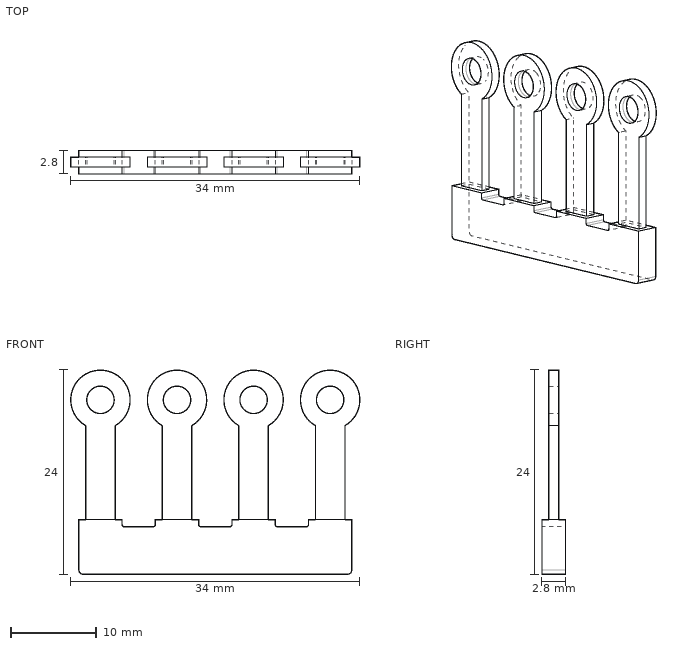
import cadquery as cq

TERMINAL_COUNT = 4
OVERALL_LENGTH = 34.0
OVERALL_HEIGHT = 24.0

RING_DIAMETER = 7.0
HOLE_DIAMETER = 3.2
STEM_WIDTH = 3.5
TERMINAL_THICKNESS = 1.2

BASE_LENGTH = 32.1
BASE_DEPTH = 2.8
BASE_HEIGHT = 6.43
BASE_CORNER_RADIUS = 0.5

NOTCH_WIDTH = 3.88
NOTCH_DEPTH = 0.8
NOTCH_CORNER_RADIUS = 0.2

PITCH = (OVERALL_LENGTH - RING_DIAMETER) / (TERMINAL_COUNT - 1)
RING_CENTER_Z = OVERALL_HEIGHT - RING_DIAMETER / 2
STEM_HEIGHT = RING_CENTER_Z - BASE_HEIGHT


def row_positions(count):
    """X places of `count` items spaced one pitch apart and centred on X = 0."""
    return [(i - (count - 1) / 2) * PITCH for i in range(count)]


def plate_box(width, depth, height, x, bottom_z):
    """Box centred on x and Y = 0, standing on bottom_z."""
    box = cq.Workplane("XY").box(width, depth, height, centered=(True, True, False))
    return box.translate((x, 0, bottom_z))


def make_base():
    """Bar with rounded lower end corners and a notch between each two terminals."""
    base = plate_box(BASE_LENGTH, BASE_DEPTH, BASE_HEIGHT, 0, 0)
    base = base.edges("|Y and <Z").fillet(BASE_CORNER_RADIUS)
    for x in row_positions(TERMINAL_COUNT - 1):
        notch = plate_box(NOTCH_WIDTH, BASE_DEPTH, NOTCH_DEPTH, x, BASE_HEIGHT - NOTCH_DEPTH)
        base = base.cut(notch.edges("|Y and <Z").fillet(NOTCH_CORNER_RADIUS))
    return base


def make_terminal(x):
    """Stem standing on the base, ending in a ring with a through hole."""
    stem = plate_box(STEM_WIDTH, TERMINAL_THICKNESS, STEM_HEIGHT, x, BASE_HEIGHT)
    ring_plane = cq.Workplane("XZ", origin=(x, 0, RING_CENTER_Z))
    disc = ring_plane.circle(RING_DIAMETER / 2).extrude(TERMINAL_THICKNESS / 2, both=True)
    hole = ring_plane.circle(HOLE_DIAMETER / 2).extrude(TERMINAL_THICKNESS, both=True)
    return stem.union(disc).cut(hole)


base = make_base()
terminals = [make_terminal(x) for x in row_positions(TERMINAL_COUNT)]

result = cq.Compound.makeCompound([base.val(), *[terminal.val() for terminal in terminals]])